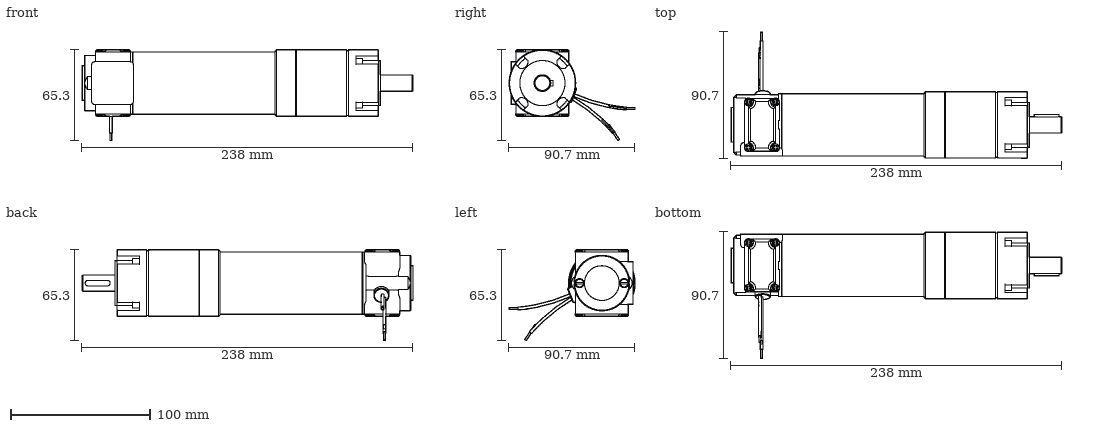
import cadquery as cq
import math


overlap = 1.0

hub_dia = 25.0
hub_height = 1.6
cap_dia = 40.0
cap_chamfer = 0.5
ear_dia = 11.5
ear_offset = 16.0
ear_chamfer = 2.2
plug_hole_dia = 6.5
plug_hole_depth = 3.5
plug_dia = 5.5
plug_recess_depth = 2.2
plug_slot_width = 1.0
plug_slot_depth = 0.8

housing_start = 9.5
housing_length = 25.4
housing_width = 38.0
housing_height = 43.2
housing_corner_radius = 3.0
housing_center = housing_start + housing_length / 2
housing_end = housing_start + housing_length

lid_base_thickness = 0.7
lid_total_thickness = 2.4
plateau_length = 16.2
plateau_width = 33.6
plateau_foot_length = 19.4
plateau_foot_width = 37.8
lid_screw_spacing_x = 19.6
lid_screw_spacing_y = 33.0
lid_screw_head_dia = 5.5
lid_screw_head_chamfer = 0.9
lid_screw_cross_length = 3.3
lid_screw_cross_width = 0.9
lid_screw_cross_depth = 0.8
lid_pocket_floor_radius = 3.6
lid_pocket_rim_radius = 5.2

pad_start = 6.9
pad_end = 36.8
pad_height = 30.7
pad_face_offset = 22.5
pad_corner_radius = 2.0

tube_dia = 45.0
tube_end = 138.8
tube_joint = 36.4
joint_groove_width = 0.6
joint_groove_depth = 0.3

gearhead_dia = 48.0
gearhead_rear_chamfer = 1.0
gearhead_front_chamfer = 0.4
ring_joint = 153.8
flange_joint = 190.9
flange_groove_width = 1.4
flange_groove_depth = 0.6
mount_face = 213.0
pilot_dia = 32.5
pilot_height = 1.5

pocket_count = 4
pocket_width = 8.0
pocket_length = 16.2
pocket_floor_radius = 21.6
hollow_length = 11.4
hollow_dia = 9.4
hollow_edge_radius = 18.9

shaft_dia = 12.0
shaft_length = 25.0
shaft_chamfer = 0.7
key_length = 18.0
key_size = 4.0
key_start = 217.8
key_projection = 1.5

grommet_x = 22.8
grommet_dia = 11.0
grommet_reach = 24.5
grommet_root = 15.0
grommet_angle = -21.5
grommet_chamfer = 0.5
lead_dia = 2.2
core_dia = 1.5
upper_lead = (21.9, (20.0, -7.4), (41.5, -15.2), (60.3, -18.3), (66.73, -18.3))
lower_lead = (20.7, (20.0, -10.0), (36.9, -21.6), (51.3, -35.6), (54.9, -40.93))


def disc(start, end, diameter, y=0.0):
    """Cylinder parallel to X."""
    plane = cq.Workplane("YZ", origin=(start, y, 0))
    return plane.circle(diameter / 2).extrude(end - start)


def block(x_range, y_range, z_range):
    """Axis-aligned box from its limits."""
    low, high = zip(x_range, y_range, z_range)
    size = [b - a for a, b in zip(low, high)]
    return cq.Workplane("XY").box(*size, centered=False).translate(low)


def ring_groove(center, width, outer_dia, depth):
    """Ring to cut from a cylinder around X."""
    plane = cq.Workplane("YZ", origin=(center - width / 2, 0, 0))
    return plane.circle(outer_dia / 2 + overlap).circle(outer_dia / 2 - depth).extrude(width)


def end_cap():
    cap = disc(hub_height, housing_start + overlap, cap_dia).faces("<X").chamfer(cap_chamfer)
    for side in (1, -1):
        ear = disc(hub_height, housing_end, ear_dia, y=side * ear_offset)
        cap = cap.union(ear.faces("<X").chamfer(ear_chamfer))
    return cap.union(disc(0, housing_start, hub_dia))


def plug_recess(side):
    """Blind hole around a sunken plug, with a screwdriver slot across the plug."""
    y = side * ear_offset
    hole_floor = hub_height + plug_hole_depth
    plug_face = hub_height + plug_recess_depth
    hole = disc(hub_height, hole_floor, plug_hole_dia, y=y)
    plug = disc(plug_face, hole_floor, plug_dia, y=y)
    slot = block(
        (plug_face, plug_face + plug_slot_depth),
        (y - plug_dia / 2, y + plug_dia / 2),
        (-plug_slot_width / 2, plug_slot_width / 2),
    )
    return hole.cut(plug).union(slot)


def housing():
    body = cq.Workplane("XY").box(housing_length, housing_width, housing_height)
    body = body.edges("|Z").fillet(housing_corner_radius)
    return body.translate((housing_center, 0, 0))


def lid_screw(x, y):
    """Pan head with a cross recess, standing on the lid base."""
    head_height = lid_total_thickness - lid_base_thickness
    head = cq.Workplane("XY").circle(lid_screw_head_dia / 2).extrude(head_height)
    head = head.faces(">Z").chamfer(lid_screw_head_chamfer)
    for angle in (0, 90):
        groove = cq.Workplane("XY").box(
            lid_screw_cross_length, lid_screw_cross_width, 2 * lid_screw_cross_depth
        )
        head = head.cut(groove.rotate((0, 0, 0), (0, 0, 1), angle).translate((0, 0, head_height)))
    return head.translate((x, y, lid_base_thickness))


def lid():
    """Lid with its underside at z = 0, centred on the Z axis."""
    rise = lid_total_thickness - lid_base_thickness
    base = cq.Workplane("XY").rect(housing_length, housing_width).extrude(lid_base_thickness)
    base = base.edges("|Z").fillet(housing_corner_radius)
    plateau = (
        cq.Workplane("XY", origin=(0, 0, lid_base_thickness))
        .rect(plateau_foot_length, plateau_foot_width)
        .workplane(offset=rise)
        .rect(plateau_length, plateau_width)
        .loft(combine=True)
    )
    pocket = cq.Workplane(
        cq.Solid.makeCone(lid_pocket_floor_radius, lid_pocket_rim_radius, rise)
    ).translate((0, 0, lid_base_thickness))
    corners = [
        (sx * lid_screw_spacing_x / 2, sy * lid_screw_spacing_y / 2)
        for sx in (1, -1)
        for sy in (1, -1)
    ]
    for x, y in corners:
        plateau = plateau.cut(pocket.translate((x, y, 0)))
    cover = base.union(plateau)
    for x, y in corners:
        cover = cover.union(lid_screw(x, y))
    return cover


def side_pad():
    pad = block(
        (pad_start, pad_end),
        (-pad_face_offset, -housing_width / 4),
        (-pad_height / 2, pad_height / 2),
    )
    return pad.edges("|Y").fillet(pad_corner_radius)


def gearhead():
    body = disc(tube_end, mount_face, gearhead_dia)
    body = body.faces("<X").chamfer(gearhead_rear_chamfer)
    body = body.faces(">X").chamfer(gearhead_front_chamfer)
    body = body.cut(ring_groove(ring_joint, joint_groove_width, gearhead_dia, joint_groove_depth))
    body = body.cut(ring_groove(flange_joint, flange_groove_width, gearhead_dia, flange_groove_depth))
    for index in range(pocket_count):
        angle = (index + 0.5) * 360 / pocket_count
        body = body.cut(mounting_pocket().rotate((0, 0, 0), (1, 0, 0), angle))
    return body.union(disc(flange_joint, mount_face + pilot_height, pilot_dia))


def mounting_pocket():
    """Slot on the +Y side: a ledge concentric with the motor, then a deeper hollow."""
    half_width = pocket_width / 2
    slot = block(
        (mount_face - pocket_length, mount_face),
        (hollow_edge_radius, gearhead_dia),
        (-half_width, half_width),
    )
    hollow_start = mount_face - hollow_length
    ledge = disc(mount_face - pocket_length, hollow_start, 2 * pocket_floor_radius)
    hollow_center = hollow_edge_radius + math.sqrt((hollow_dia / 2) ** 2 - half_width**2)
    hollow = disc(hollow_start, mount_face, hollow_dia, y=hollow_center)
    channel = block((hollow_start, mount_face), (0, hollow_center), (-half_width, half_width))
    return slot.cut(ledge).union(hollow.intersect(channel))


def output_shaft():
    shaft_end = mount_face + shaft_length
    shaft = disc(mount_face, shaft_end, shaft_dia).faces(">X").chamfer(shaft_chamfer)
    key_top = shaft_dia / 2 + key_projection
    key = (
        cq.Workplane("XZ", origin=(key_start + key_length / 2, key_top, 0))
        .slot2D(key_length, key_size)
        .extrude(key_size)
    )
    return shaft.union(key)


def grommet():
    """Round grommet pointing radially out of the +Y side."""
    plug = cq.Workplane("XZ", origin=(grommet_x, grommet_root, 0)).circle(grommet_dia / 2)
    plug = plug.extrude(grommet_root - grommet_reach).faces(">Y").chamfer(grommet_chamfer)
    return plug.rotate((0, 0, 0), (1, 0, 0), grommet_angle)


def lead(x, root, middle, end, tip):
    """Curved insulated lead with a straight bare core at its end."""
    path = cq.Workplane("YZ", origin=(x, 0, 0)).moveTo(*root).threePointArc(middle, end)
    tangent = path.val().tangentAt(0)
    start = cq.Plane(origin=(x, *root), xDir=(1, 0, 0), normal=tangent.toTuple())
    insulation = cq.Workplane(start).circle(lead_dia / 2).sweep(path)
    run_y = tip[0] - end[0]
    run_z = tip[1] - end[1]
    core_start = cq.Plane(origin=(x, *end), xDir=(1, 0, 0), normal=(0, run_y, run_z))
    core_length = math.hypot(run_y, run_z)
    core = cq.Workplane(core_start).circle(core_dia / 2)
    return insulation.union(core.extrude(core_length, both=True))


def motor():
    tube = disc(housing_end - overlap, tube_end + overlap, tube_dia)
    tube = tube.cut(ring_groove(tube_joint, joint_groove_width, tube_dia, joint_groove_depth))
    body = tube.union(housing()).union(end_cap()).union(side_pad())
    top_lid = lid().translate((housing_center, 0, housing_height / 2))
    body = body.union(top_lid).union(top_lid.mirror("XY"))
    for side in (1, -1):
        body = body.cut(plug_recess(side))
    return body.union(grommet())


result = motor().union(gearhead()).union(output_shaft())
for wire in (upper_lead, lower_lead):
    result = result.union(lead(*wire))